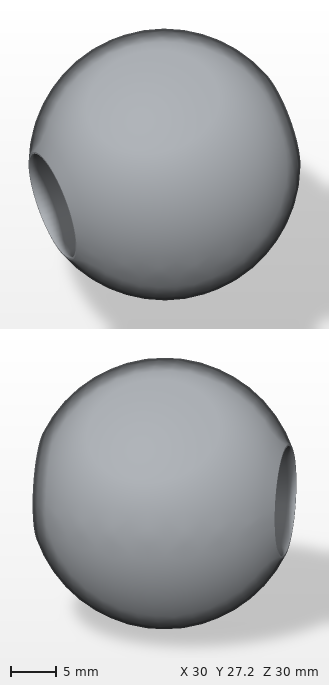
import cadquery as cq
import math

ball_diameter = 30.0
width_across_flats = 27.2
bore_diameter = 12.2

ball_radius = ball_diameter / 2
bore_radius = bore_diameter / 2
half_width = width_across_flats / 2
flat_radius = math.sqrt(ball_radius**2 - half_width**2)

half_section = (
    cq.Workplane("XY")
    .moveTo(bore_radius, -half_width)
    .lineTo(flat_radius, -half_width)
    .threePointArc((ball_radius, 0), (flat_radius, half_width))
    .lineTo(bore_radius, half_width)
    .close()
)

result = half_section.revolve(360, (0, 0, 0), (0, 1, 0))